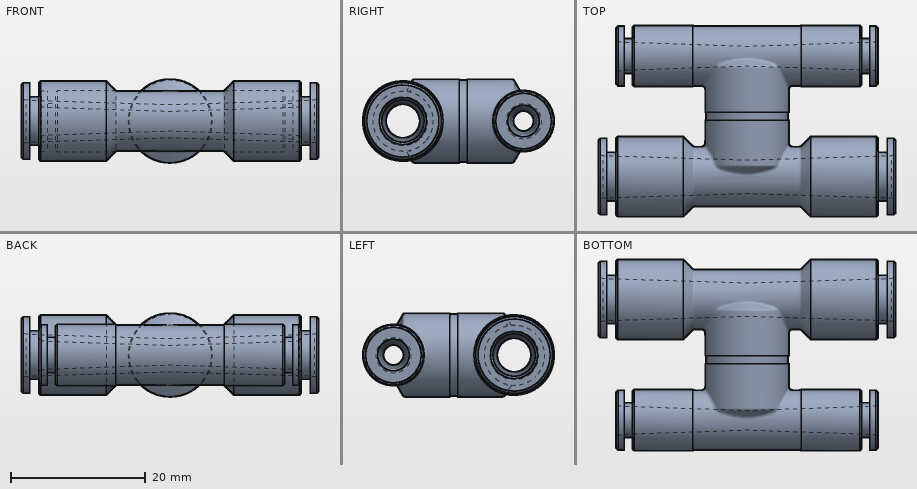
import cadquery as cq
import math

axis_spacing = 18.0
run_axis_y = axis_spacing / 2
waist_radius = 4.5
waist_half_length = 7.75
shoulder_blend_radius = 0.55
shoulder_angle = 45.0
release_chamfer = 0.35
body_chamfer = 0.25

stem_radius = 6.25
stem_groove_radius = 6.13
stem_groove_width = 1.15
stem_end_to_run_axis = 1.5
stem_cone_angle = 30.0
stem_edge_round = 0.45
blend_radius = 0.5

mouth_depth = 0.65

large_run = {
    "y": -run_axis_y,
    "half_length": 22.2,
    "flange_radius": 5.73,
    "flange_width": 1.35,
    "neck_radius": 3.65,
    "body_radius": 6.0,
    "body_end": 19.55,
    "mouth_radius": 3.5,
    "socket_radius": 3.15,
    "passage_radius": 2.5,
}
small_run = {
    "y": run_axis_y,
    "half_length": 19.55,
    "flange_radius": 4.5,
    "flange_width": 1.25,
    "neck_radius": 2.6,
    "body_radius": 4.57,
    "body_end": 17.1,
    "mouth_radius": 2.35,
    "socket_radius": 2.11,
    "passage_radius": 1.45,
}


def spin_about_run(outline, axis_y):
    """Spin a closed (x, radius) outline into a solid around a run axis parallel to X."""
    return outline.revolve(360, (0, 0, 0), (1, 0, 0)).translate((0, axis_y, 0))


def both_ends(solid):
    """Join a solid on the +X end of a run with its mirror image on the -X end."""
    return solid.union(solid.mirror("YZ"))


def make_stem():
    """Cross stem along Y with conical, rounded ends and a shallow groove in the middle."""
    corner_y = run_axis_y - stem_end_to_run_axis
    tip_y = corner_y + stem_radius * math.tan(math.radians(stem_cone_angle))
    outline = (
        cq.Workplane("XY")
        .moveTo(0, -tip_y)
        .lineTo(stem_radius, -corner_y)
        .lineTo(stem_radius, corner_y)
        .lineTo(0, tip_y)
        .close()
    )
    stem = outline.revolve(360, (0, 0, 0), (0, 1, 0))
    stem = stem.edges("%CIRCLE").fillet(stem_edge_round)
    groove = (
        cq.Workplane("XZ", origin=(0, stem_groove_width / 2, 0))
        .circle(2 * stem_radius)
        .circle(stem_groove_radius)
        .extrude(stem_groove_width)
    )
    return stem.cut(groove)


def make_waist(axis_y):
    """Plain middle tube of a run."""
    tube = cq.Workplane("YZ", origin=(-waist_half_length, 0, 0)).center(axis_y, 0)
    return tube.circle(waist_radius).extrude(2 * waist_half_length)


def meets_run(edge):
    """True for an edge where the stem surface runs into one of the waists."""
    if edge.geomType() in ("LINE", "CIRCLE"):
        return False
    edge_check_positions = (0.3, 0.7)
    match_tolerance = 0.005
    for position in edge_check_positions:
        point = edge.positionAt(position)
        radius = math.hypot(abs(point.y) - run_axis_y, point.z)
        if abs(radius - waist_radius) > match_tolerance:
            return False
    return True


def blend_point(angle):
    """Point on the concave shoulder curve where its slope equals the given angle in degrees."""
    slope = math.radians(angle)
    x = waist_half_length + shoulder_blend_radius * math.sin(slope)
    radius = waist_radius + shoulder_blend_radius * (1 - math.cos(slope))
    return x, radius


def make_socket_ends(run):
    """Shoulder, socket body, neck and release sleeve at both ends of a run."""
    body_radius = run["body_radius"]
    body_end = run["body_end"]
    half_length = run["half_length"]
    flange_radius = run["flange_radius"]
    flange_start = half_length - run["flange_width"]

    step = body_radius - waist_radius
    slope_at_body = math.degrees(math.acos(max(0, 1 - step / shoulder_blend_radius)))
    blend_angle = min(shoulder_angle, slope_at_body)
    blend_end_x, blend_end_radius = blend_point(blend_angle)

    outline = (
        cq.Workplane("XY")
        .moveTo(waist_half_length, 0)
        .lineTo(waist_half_length, waist_radius)
        .threePointArc(blend_point(blend_angle / 2), (blend_end_x, blend_end_radius))
    )
    if blend_angle == shoulder_angle:
        cone_length = (body_radius - blend_end_radius) / math.tan(math.radians(shoulder_angle))
        outline = outline.lineTo(blend_end_x + cone_length, body_radius)
    outline = (
        outline.lineTo(body_end - body_chamfer, body_radius)
        .lineTo(body_end, body_radius - body_chamfer)
        .lineTo(body_end, run["neck_radius"])
        .lineTo(flange_start, run["neck_radius"])
        .lineTo(flange_start, flange_radius)
        .lineTo(half_length - release_chamfer, flange_radius)
        .lineTo(half_length, flange_radius - release_chamfer)
        .lineTo(half_length, 0)
        .close()
    )
    return both_ends(spin_about_run(outline, run["y"]))


def make_bore(run):
    """Through passage that narrows to the middle, with a flared mouth at each end."""
    half_length = run["half_length"]
    outline = (
        cq.Workplane("XY")
        .lineTo(0, run["passage_radius"])
        .lineTo(half_length - mouth_depth, run["socket_radius"])
        .lineTo(half_length, run["mouth_radius"])
        .lineTo(half_length, 0)
        .close()
    )
    return both_ends(spin_about_run(outline, run["y"]))


core = make_stem()
for run in (large_run, small_run):
    core = core.union(make_waist(run["y"]))
core = core.newObject([e for e in core.edges().vals() if meets_run(e)]).fillet(blend_radius)

result = core
for run in (large_run, small_run):
    result = result.union(make_socket_ends(run)).cut(make_bore(run))